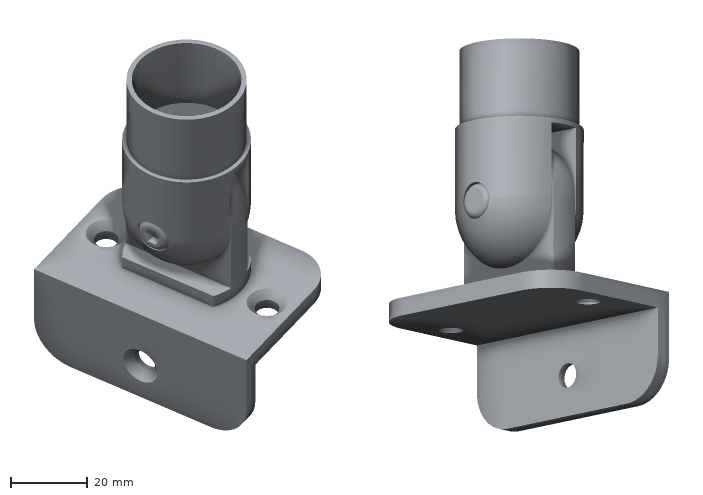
import cadquery as cq


PLATE_WIDTH = 66.0
PLATE_DEPTH = 44.0
PLATE_THICKNESS = 4.8
FLANGE_THICKNESS = 4.3
FLANGE_HEIGHT = 28.9
CORNER_RADIUS = 11.2
PLATE_CENTER_X = -0.3
PLATE_FRONT_Y = -PLATE_DEPTH / 2

SCREW_HOLE_DIAMETER = 6.5
COUNTERSINK_DIAMETER = 10.6
COUNTERSINK_ANGLE = 90
PLATE_HOLE_SPACING = 50.0
FLANGE_HOLE_DROP = 18.0

JOINT_DIAMETER = 33.7
JOINT_RADIUS = JOINT_DIAMETER / 2
FOOT_WIDTH = 18.2
FOOT_HEIGHT = 3.8
TONGUE_THICKNESS = 8.0
TONGUE_DOME_Z = 25.1
SLOT_WIDTH = 9.2
PIVOT_Z = 23.6

SHOULDER_Z = 45.1
SPIGOT_DIAMETER = 31.4
BORE_DIAMETER = 28.7
OVERALL_HEIGHT = 95
TOP_Z = OVERALL_HEIGHT - FLANGE_HEIGHT
SLOT_ROOF_THICKNESS = 1.2

PIN_DIAMETER = 6.5
PIN_HEAD_DIAMETER = 9.6
PIN_HEAD_FACE_DIAMETER = 6.0
PIN_HEAD_HEIGHT = 3.8
PIN_LENGTH = JOINT_DIAMETER
PIN_HEAD_ROUNDING = (PIN_HEAD_DIAMETER - PIN_HEAD_FACE_DIAMETER) / 2
HEX_CORNER_DIAMETER = 4.9
HEX_DEPTH = 2.4


def cylinder_along_y(diameter, start_y, length):
    """Cylinder on the pivot axis, running toward +Y from start_y."""
    plane = cq.Plane(origin=(0, start_y, PIVOT_Z), xDir=(1, 0, 0), normal=(0, 1, 0))
    return cq.Workplane(plane).circle(diameter / 2).extrude(length)


def domed_column(ball_center_z, dome_up):
    """Column of the joint diameter, up from Z = 0 or down from the shoulder, with a ball end."""
    base_z = 0 if dome_up else SHOULDER_Z
    column = cq.Workplane("XY").workplane(offset=base_z).circle(JOINT_RADIUS)
    column = column.extrude(ball_center_z - base_z)
    ball = cq.Workplane("XY").sphere(JOINT_RADIUS).translate((0, 0, ball_center_z))
    return column.union(ball)


def make_angle_plates():
    """Horizontal plate and front flange, each with two rounded free corners."""
    plate = (
        cq.Workplane("XY")
        .box(PLATE_WIDTH, PLATE_DEPTH, PLATE_THICKNESS)
        .edges("|Z and >Y")
        .fillet(CORNER_RADIUS)
        .translate((PLATE_CENTER_X, 0, -PLATE_THICKNESS / 2))
    )
    flange = (
        cq.Workplane("XY")
        .box(PLATE_WIDTH, FLANGE_THICKNESS, FLANGE_HEIGHT)
        .edges("|Y and <Z")
        .fillet(CORNER_RADIUS)
        .translate((PLATE_CENTER_X, PLATE_FRONT_Y + FLANGE_THICKNESS / 2, -FLANGE_HEIGHT / 2))
    )
    return plate.union(flange)


def drill_mounting_holes(bracket):
    """Two countersunk holes in the plate and one in the flange."""
    bracket = (
        cq.Workplane("XY")
        .add(bracket)
        .pushPoints([(-PLATE_HOLE_SPACING / 2, 0), (PLATE_HOLE_SPACING / 2, 0)])
        .cskHole(SCREW_HOLE_DIAMETER, COUNTERSINK_DIAMETER, COUNTERSINK_ANGLE, depth=PLATE_THICKNESS)
    )
    return (
        cq.Workplane("XZ", origin=(PLATE_CENTER_X, PLATE_FRONT_Y, -FLANGE_HOLE_DROP))
        .add(bracket)
        .pushPoints([(0, 0)])
        .cskHole(SCREW_HOLE_DIAMETER, COUNTERSINK_DIAMETER, COUNTERSINK_ANGLE, depth=FLANGE_THICKNESS)
    )


def make_tongue():
    """Flat-sided foot and domed tongue, bored for the pivot pin."""
    foot_slab = cq.Workplane("XY").box(JOINT_DIAMETER, FOOT_WIDTH, FOOT_HEIGHT, centered=(True, True, False))
    foot = cq.Workplane("XY").circle(JOINT_RADIUS).extrude(FOOT_HEIGHT).intersect(foot_slab)
    tongue_slab = cq.Workplane("XY").box(
        JOINT_DIAMETER, TONGUE_THICKNESS, TONGUE_DOME_Z + JOINT_RADIUS, centered=(True, True, False)
    )
    tongue = domed_column(TONGUE_DOME_Z, dome_up=True).intersect(tongue_slab)
    pin_hole = cylinder_along_y(PIN_DIAMETER, -TONGUE_THICKNESS / 2, TONGUE_THICKNESS)
    return foot.union(tongue).cut(pin_hole)


def make_bracket():
    """Angle bracket with the joint tongue standing on its plate."""
    return drill_mounting_holes(make_angle_plates()).union(make_tongue())


def make_fork():
    """Round-ended body, slotted through along X for the tongue."""
    slot_top = SHOULDER_Z - SLOT_ROOF_THICKNESS
    slot = cq.Workplane("XY").box(JOINT_DIAMETER, SLOT_WIDTH, slot_top, centered=(True, True, False))
    return domed_column(PIVOT_Z, dome_up=False).cut(slot)


def make_spigot():
    """Thin tube rising from the shoulder of the fork."""
    return (
        cq.Workplane("XY", origin=(0, 0, SHOULDER_Z))
        .circle(SPIGOT_DIAMETER / 2)
        .circle(BORE_DIAMETER / 2)
        .extrude(TOP_Z - SHOULDER_Z)
    )


def make_pin():
    """Pivot shank with a rounded head at each end."""
    end_y = PIN_LENGTH / 2
    shank = cylinder_along_y(PIN_DIAMETER, -end_y + PIN_HEAD_HEIGHT, PIN_LENGTH - 2 * PIN_HEAD_HEIGHT)
    front_head = cylinder_along_y(PIN_HEAD_DIAMETER, -end_y, PIN_HEAD_HEIGHT)
    front_head = front_head.faces("<Y").edges().fillet(PIN_HEAD_ROUNDING)
    back_head = front_head.mirror("XZ")
    return shank.union(front_head).union(back_head)


def make_hex_socket():
    """Hexagonal recess in the front head of the pin."""
    plane = cq.Plane(origin=(0, -PIN_LENGTH / 2, PIVOT_Z), xDir=(1, 0, 0), normal=(0, 1, 0))
    return cq.Workplane(plane).polygon(6, HEX_CORNER_DIAMETER).extrude(HEX_DEPTH)


def make_head_seats():
    """Recesses that clear the fork around the rounded pin heads."""
    front_seat = cylinder_along_y(PIN_HEAD_DIAMETER, -PIN_LENGTH / 2, PIN_HEAD_HEIGHT)
    return front_seat.union(front_seat.mirror("XZ"))


def make_socket():
    """Slotted fork, spigot and pivot pin as one solid."""
    fork = make_fork().cut(make_head_seats())
    return fork.union(make_spigot()).union(make_pin()).cut(make_hex_socket())


bracket = make_bracket()
socket = make_socket()
result = cq.Compound.makeCompound([bracket.solids().val(), socket.solids().val()])